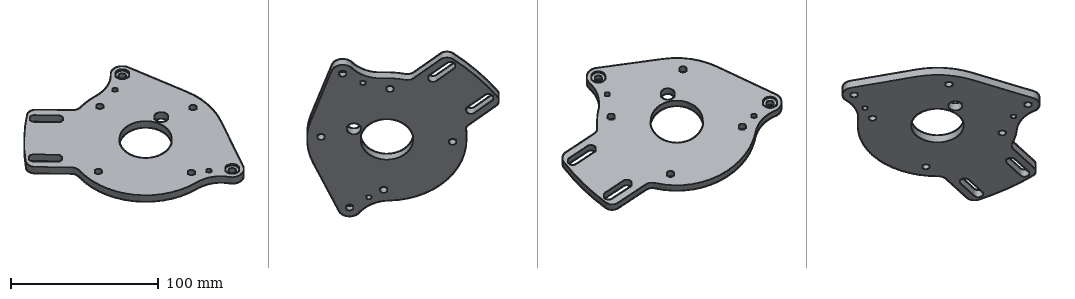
import cadquery as cq
import math

thickness = 6.35
body_radius = 53.975
bore_diameter = 35.56

ear_axis_angle = 110.0
ear_half_spread = 65.0
ear_circle_radius = 65.1
ear_radius = 7.88
ear_neck_radius = 25.4
ear_hole_diameter = 5.11
ear_counterbore_diameter = 9.78
ear_counterbore_depth = 1.5875

pilot_diameter = 3.68
pilot_circle_radius = 52.35
pilot_half_spread = 74.25

bolt_count = 4
bolt_diameter = 5.11
bolt_circle_radius = 44.5
bolt_start_angle = 25.0

clearance_diameter = 9.53
clearance_radius = 24.15
clearance_angle = 135.0

arm_angle = 250.0
arm_width = 55.5
arm_tip_distance = 82.16
arm_tip_radius = 165.0
arm_corner_radius = 6.35
arm_neck_radius = 6.35
slot_width = 6.75
slot_spacing = 38.1
slot_inner_end = 59.5
slot_outer_end = 75.4


def polar(radius, angle, center=(0.0, 0.0)):
    """Point at a radius and an angle in degrees around a centre."""
    turn = math.radians(angle)
    return (center[0] + radius * math.cos(turn), center[1] + radius * math.sin(turn))


def opposite_angle(side, adjacent_a, adjacent_b):
    """Angle in degrees facing a side of a triangle with three known sides."""
    cosine = (adjacent_a**2 + adjacent_b**2 - side**2) / (2 * adjacent_a * adjacent_b)
    return math.degrees(math.acos(cosine))


def body_outline():
    """Disc and ears joined by tangent lines on one side and concave arcs on the other."""
    tangent_angle = ear_half_spread - math.degrees(
        math.acos((body_radius - ear_radius) / ear_circle_radius)
    )
    neck_to_body = body_radius + ear_neck_radius
    neck_to_ear = ear_radius + ear_neck_radius
    neck_angle = ear_half_spread + opposite_angle(neck_to_ear, neck_to_body, ear_circle_radius)
    angle_at_ear = opposite_angle(neck_to_body, neck_to_ear, ear_circle_radius)
    ear_end_angle = ear_half_spread + 180 - angle_at_ear

    def ear_outline(side):
        """Points along one ear from the disc's tangent line to its concave arc."""
        def place(radius, angle, center=(0.0, 0.0)):
            return polar(radius, ear_axis_angle + side * angle, center)

        ear_center = place(ear_circle_radius, ear_half_spread)
        neck_center = place(neck_to_body, neck_angle)
        neck_middle_angle = (ear_end_angle + neck_angle) / 2 + 180
        return [
            place(body_radius, tangent_angle),
            place(ear_radius, tangent_angle, ear_center),
            place(ear_radius, (tangent_angle + ear_end_angle) / 2, ear_center),
            place(ear_radius, ear_end_angle, ear_center),
            place(ear_neck_radius, neck_middle_angle, neck_center),
            place(body_radius, neck_angle),
        ]

    left = ear_outline(1)
    right = ear_outline(-1)
    return (
        cq.Workplane("XY")
        .moveTo(*left[0])
        .lineTo(*left[1])
        .threePointArc(left[2], left[3])
        .threePointArc(left[4], left[5])
        .threePointArc(polar(body_radius, ear_axis_angle + 180), right[5])
        .threePointArc(right[4], right[3])
        .threePointArc(right[2], right[1])
        .lineTo(*right[0])
        .threePointArc(polar(body_radius, ear_axis_angle), left[0])
        .close()
    )


def make_arm():
    """Arm modelled along +X from the bore centre, then turned into place."""
    half_width = arm_width / 2
    tip_sagitta = arm_tip_radius - math.sqrt(arm_tip_radius**2 - half_width**2)
    corner_distance = arm_tip_distance - tip_sagitta
    arm = (
        cq.Workplane("XY")
        .moveTo(0, -half_width)
        .lineTo(corner_distance, -half_width)
        .threePointArc((arm_tip_distance, 0), (corner_distance, half_width))
        .lineTo(0, half_width)
        .close()
        .extrude(thickness)
        .edges("|Z")
        .edges(">X")
        .fillet(arm_corner_radius)
    )
    return arm.rotate((0, 0, 0), (0, 0, 1), arm_angle)


def make_plate():
    """Body and arm in one piece, with the corners between them rounded."""
    plate = body_outline().extrude(thickness).union(make_arm())
    corner_spread = math.degrees(math.asin(arm_width / 2 / body_radius))
    for side in (-1, 1):
        x, y = polar(body_radius, arm_angle + side * corner_spread)
        corner = cq.selectors.NearestToPointSelector((x, y, thickness / 2))
        plate = plate.edges("|Z").edges(corner).fillet(arm_neck_radius)
    return plate


def cut_holes(plate, points, diameter):
    """Round through holes at the given points."""
    cutter = cq.Workplane("XY").pushPoints(points).circle(diameter / 2).extrude(thickness)
    return plate.cut(cutter)


def cut_counterbores(plate, points):
    """Counterbores sunk from the top face."""
    cutter = (
        cq.Workplane("XY", origin=(0, 0, thickness - ear_counterbore_depth))
        .pushPoints(points)
        .circle(ear_counterbore_diameter / 2)
        .extrude(ear_counterbore_depth)
    )
    return plate.cut(cutter)


def cut_slots(plate):
    """Two round-ended slots parallel to the arm axis."""
    end_distance = slot_outer_end - slot_inner_end
    slot_middle = (slot_inner_end + slot_outer_end) / 2
    slots = (
        cq.Workplane("XY")
        .pushPoints([(slot_middle, side * slot_spacing / 2) for side in (-1, 1)])
        .slot2D(end_distance + slot_width, slot_width)
        .extrude(thickness)
        .rotate((0, 0, 0), (0, 0, 1), arm_angle)
    )
    return plate.cut(slots)


def mirrored_points(radius, half_spread):
    """Pair of points symmetric about the ear axis."""
    return [polar(radius, ear_axis_angle + side * half_spread) for side in (-1, 1)]


ear_points = mirrored_points(ear_circle_radius, ear_half_spread)
pilot_points = mirrored_points(pilot_circle_radius, pilot_half_spread)
bolt_points = [
    polar(bolt_circle_radius, bolt_start_angle + index * 360 / bolt_count) for index in range(bolt_count)
]

result = make_plate()
result = cut_holes(result, [(0, 0)], bore_diameter)
result = cut_holes(result, [polar(clearance_radius, clearance_angle)], clearance_diameter)
result = cut_holes(result, bolt_points, bolt_diameter)
result = cut_holes(result, pilot_points, pilot_diameter)
result = cut_holes(result, ear_points, ear_hole_diameter)
result = cut_counterbores(result, ear_points)
result = cut_slots(result)